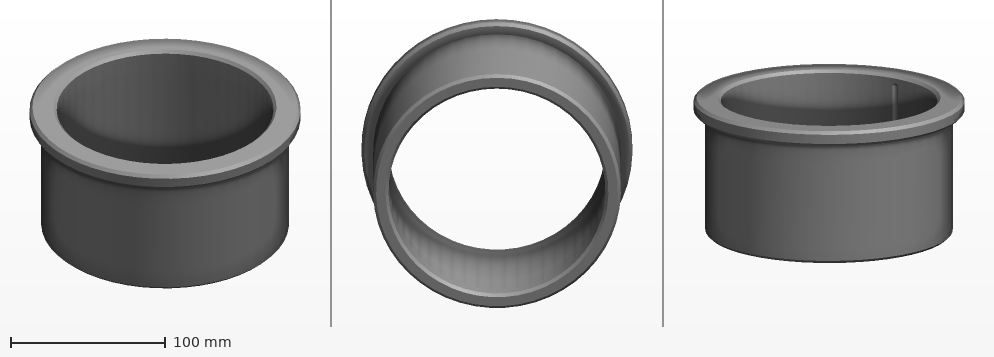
import cadquery as cq

flange_diameter = 175.0
body_diameter = 160.0
bore_diameter = 140.0
height = 90.0
flange_thickness = 10.0
chamfer = 2.0

groove_diameter = 4.5
groove_end_margin = 5.0
groove_radius = groove_diameter / 2

flange_radius = flange_diameter / 2
body_radius = body_diameter / 2
bore_radius = bore_diameter / 2
flange_bottom = height - flange_thickness

half_section = (
    cq.Workplane("XZ")
    .moveTo(bore_radius + chamfer, 0)
    .lineTo(body_radius - chamfer, 0)
    .lineTo(body_radius, chamfer)
    .lineTo(body_radius, flange_bottom)
    .lineTo(flange_radius - chamfer, flange_bottom)
    .lineTo(flange_radius, flange_bottom + chamfer)
    .lineTo(flange_radius, height - chamfer)
    .lineTo(flange_radius - chamfer, height)
    .lineTo(bore_radius + chamfer, height)
    .lineTo(bore_radius, height - chamfer)
    .lineTo(bore_radius, chamfer)
    .close()
)

bushing = half_section.revolve(360, (0, 0, 0), (0, 1, 0))

groove_profile = (
    cq.Workplane("XZ")
    .moveTo(0, groove_end_margin)
    .radiusArc((groove_radius, groove_end_margin + groove_radius), -groove_radius)
    .lineTo(groove_radius, height - groove_end_margin - groove_radius)
    .radiusArc((0, height - groove_end_margin), -groove_radius)
    .close()
)
groove = groove_profile.revolve(360, (0, 0, 0), (0, 1, 0)).translate((bore_radius, 0, 0))

result = bushing.cut(groove)